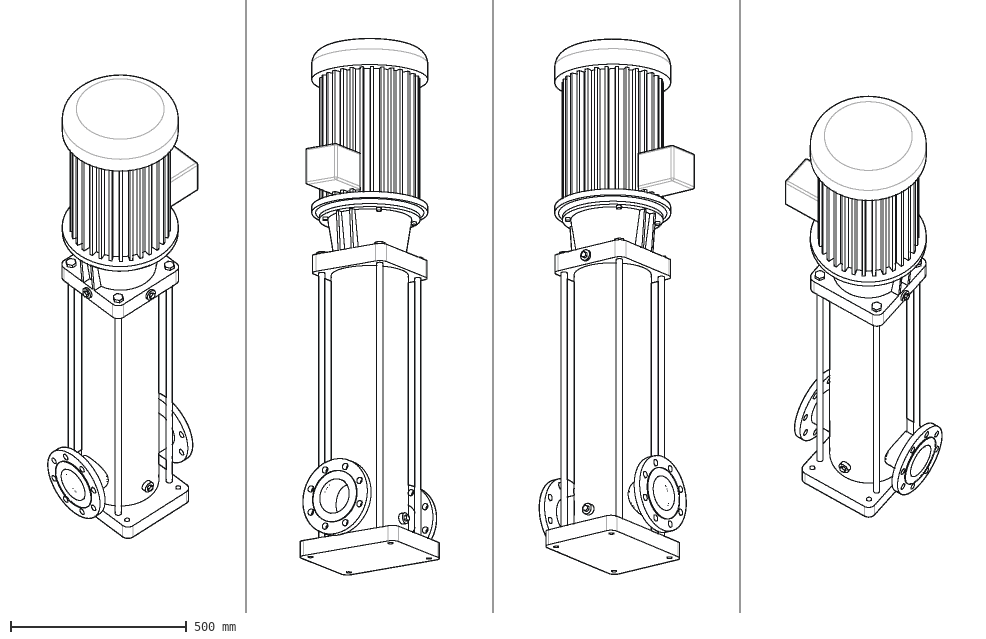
import cadquery as cq
TOTAL_HEIGHT = 1496.0

BASE_LENGTH = 330.0
PLATE_WIDTH = 248.0
BASE_HEIGHT = 45.0
BASE_CORNER_RADIUS = 21.0
BASE_HOLE_DIAMETER = 14.0
BASE_HOLE_X = 136.0
BASE_HOLE_Y = 99.0

CASING_DIAMETER = 220.0
HEAD_BOTTOM = 832.0
HEAD_HEIGHT = 51.0
HEAD_CORNER_RADIUS = 22.0
HEAD_TOP = HEAD_BOTTOM + HEAD_HEIGHT
ROD_DIAMETER = 18.0
ROD_OFFSET = 99.0
ROD_NUT_WIDTH = 30.0
ROD_NUT_HEIGHT = 9.0

PORT_HEIGHT = 140.0
PORT_REACH = 183.0
PORT_BORE = 100.0
PORT_PIPE_DIAMETER = 108.0
FLANGE_DIAMETER = 220.0
FLANGE_THICKNESS = 20.0
SEAL_FACE_DIAMETER = 150.0
SEAL_FACE_HEIGHT = 3.0
FLANGE_HOLE_DIAMETER = 18.0
FLANGE_HOLE_CIRCLE = 180.0
FLANGE_HOLE_COUNT = 8

PLUG_COLLAR_DIAMETER = 31.0
PLUG_HEAD_WIDTH = 18.0
PLUG_HEAD_LENGTH = 7.0
VENT_COLLAR_LENGTH = 6.0
DRAIN_COLLAR_LENGTH = 12.0
DRAIN_HEIGHT = 99.0

CONE_BOTTOM_RADIUS = 102.0
CONE_TOP_RADIUS = 120.0
STOOL_BOTTOM = 996.0
STOOL_RADIUS = 144.0
STOOL_RIM_TOP = 1005.0
STOOL_TOP_RADIUS = 154.0
RIB_THICKNESS = 7.0
RIB_SPACING = 45.0
RIB_BOTTOM_REACH = 124.0
RIB_TOP_REACH = 133.0
BRACKET_BOLT_OFFSET = 91.0
BRACKET_BOLT_DIAMETER = 14.0
BRACKET_BOLT_HEIGHT = 7.0

MOTOR_DIAMETER = 330.0
MOTOR_FLANGE_BOTTOM = 1017.0
MOTOR_FLANGE_TOP = 1035.0
MOTOR_CORE_DIAMETER = 248.0
FIN_TIP_DIAMETER = 287.0
FIN_THICKNESS = 9.0
FIN_COUNT = 30
FAN_COVER_BOTTOM = 1409.0
FAN_COVER_FILLET = 40.0

BOX_SIZE = 106.0
BOX_BOTTOM = 1052.0
BOX_REACH = 255.0
BOX_EDGE_RADIUS = 6.0


def cylinder(diameter, bottom, top, x=0.0, y=0.0):
    """Upright cylinder between two heights."""
    return cq.Workplane("XY", origin=(x, y, bottom)).circle(diameter / 2).extrude(top - bottom)


def plate(length, width, bottom, height, corner_radius):
    """Flat plate with rounded upright corners."""
    slab = cq.Workplane("XY", origin=(0, 0, bottom)).rect(length, width).extrude(height)
    return slab.edges("|Z").fillet(corner_radius)


def four_corners(x, y):
    return [(sx * x, sy * y) for sx in (-1, 1) for sy in (-1, 1)]


def base():
    body = plate(BASE_LENGTH, PLATE_WIDTH, 0, BASE_HEIGHT, BASE_CORNER_RADIUS)
    holes = body.faces(">Z").workplane().pushPoints(four_corners(BASE_HOLE_X, BASE_HOLE_Y))
    return holes.hole(BASE_HOLE_DIAMETER)


def head_and_rods():
    body = plate(PLATE_WIDTH, PLATE_WIDTH, HEAD_BOTTOM, HEAD_HEIGHT, HEAD_CORNER_RADIUS)
    for x, y in four_corners(ROD_OFFSET, ROD_OFFSET):
        body = body.union(cylinder(ROD_DIAMETER, BASE_HEIGHT, HEAD_BOTTOM, x, y))
        nut = cq.Workplane("XY").polygon(6, ROD_NUT_WIDTH).extrude(ROD_NUT_HEIGHT)
        nut = nut.rotate((0, 0, 0), (0, 0, 1), 90)
        body = body.union(nut.translate((x, y, HEAD_TOP)))
    return body


def port():
    """Hollow flanged pipe pointing to -Y, starting at the pump axis."""
    flange_face = PORT_REACH - SEAL_FACE_HEIGHT
    pipe = cq.Workplane("XZ").circle(PORT_PIPE_DIAMETER / 2).extrude(PORT_REACH)
    flange = (
        cq.Workplane("XZ", origin=(0, -(flange_face - FLANGE_THICKNESS), 0))
        .circle(FLANGE_DIAMETER / 2)
        .extrude(FLANGE_THICKNESS)
        .faces("<Y").workplane()
        .circle(SEAL_FACE_DIAMETER / 2)
        .extrude(SEAL_FACE_HEIGHT)
    )
    half_pitch = 180 / FLANGE_HOLE_COUNT
    bolt_holes = (
        cq.Workplane("XZ")
        .polarArray(FLANGE_HOLE_CIRCLE / 2, half_pitch, 360, FLANGE_HOLE_COUNT)
        .circle(FLANGE_HOLE_DIAMETER / 2)
        .extrude(PORT_REACH)
    )
    bore = cq.Workplane("XZ").circle(PORT_BORE / 2).extrude(PORT_REACH)
    body = pipe.union(flange.cut(bolt_holes)).cut(bore)
    return body.translate((0, 0, PORT_HEIGHT))


def plug(reach, height, collar_length, angle):
    """Collared plug on a side at the given reach; angle 0 points to +X."""
    body = (
        cq.Workplane("YZ", origin=(reach - PLUG_COLLAR_DIAMETER / 2, 0, height))
        .circle(PLUG_COLLAR_DIAMETER / 2)
        .extrude(PLUG_COLLAR_DIAMETER / 2 + collar_length)
        .faces(">X").workplane()
        .transformed(rotate=(0, 0, 90))
        .polygon(6, PLUG_HEAD_WIDTH)
        .extrude(PLUG_HEAD_LENGTH)
    )
    return body.rotate((0, 0, 0), (0, 0, 1), angle)


def bracket():
    body = (
        cq.Workplane("XZ")
        .moveTo(0, HEAD_TOP)
        .lineTo(CONE_BOTTOM_RADIUS, HEAD_TOP)
        .lineTo(CONE_TOP_RADIUS, STOOL_BOTTOM)
        .lineTo(STOOL_RADIUS, STOOL_BOTTOM)
        .lineTo(STOOL_RADIUS, STOOL_RIM_TOP)
        .lineTo(STOOL_TOP_RADIUS, MOTOR_FLANGE_BOTTOM)
        .lineTo(0, MOTOR_FLANGE_BOTTOM)
        .close()
        .revolve(360, (0, 0, 0), (0, 1, 0))
    )
    rib = (
        cq.Workplane("YZ")
        .moveTo(-RIB_BOTTOM_REACH, HEAD_TOP)
        .lineTo(RIB_BOTTOM_REACH, HEAD_TOP)
        .lineTo(RIB_TOP_REACH, STOOL_BOTTOM)
        .lineTo(-RIB_TOP_REACH, STOOL_BOTTOM)
        .close()
        .extrude(RIB_THICKNESS / 2, both=True)
    )
    for side in (-1, 1):
        body = body.union(rib.translate((side * RIB_SPACING / 2, 0, 0)))
    bolt_bottom = STOOL_BOTTOM - BRACKET_BOLT_HEIGHT
    for x, y in four_corners(BRACKET_BOLT_OFFSET, BRACKET_BOLT_OFFSET):
        body = body.union(cylinder(BRACKET_BOLT_DIAMETER, bolt_bottom, STOOL_BOTTOM, x, y))
    return body


def motor():
    body = cylinder(MOTOR_CORE_DIAMETER, MOTOR_FLANGE_TOP, FAN_COVER_BOTTOM)
    half_pitch = 180 / FIN_COUNT
    fin_depth = FIN_TIP_DIAMETER / 4
    fins = (
        cq.Workplane("XY", origin=(0, 0, MOTOR_FLANGE_TOP))
        .polarArray(FIN_TIP_DIAMETER / 2 - fin_depth / 2, half_pitch, 360, FIN_COUNT)
        .rect(fin_depth, FIN_THICKNESS)
        .extrude(FAN_COVER_BOTTOM - MOTOR_FLANGE_TOP)
    )
    flange = cylinder(MOTOR_DIAMETER, MOTOR_FLANGE_BOTTOM, MOTOR_FLANGE_TOP)
    cover = cylinder(MOTOR_DIAMETER, FAN_COVER_BOTTOM, TOTAL_HEIGHT)
    cover = cover.faces(">Z").edges().fillet(FAN_COVER_FILLET)
    return body.union(fins).union(flange).union(cover)


def terminal_box():
    box = cq.Workplane("XY").box(BOX_SIZE, BOX_REACH, BOX_SIZE, centered=(True, False, False))
    box = box.edges("|Y or >Y").fillet(BOX_EDGE_RADIUS)
    return box.translate((0, 0, BOX_BOTTOM))


casing = cylinder(CASING_DIAMETER, BASE_HEIGHT, HEAD_BOTTOM)
front_port = port()
rear_port = front_port.rotate((0, 0, 0), (0, 0, 1), 180)
result = base().union(front_port).union(rear_port).union(casing)
result = result.union(head_and_rods()).union(bracket()).union(motor()).union(terminal_box())

vent_height = HEAD_BOTTOM + HEAD_HEIGHT / 2
for angle in (0, -90):
    result = result.union(plug(PLATE_WIDTH / 2, vent_height, VENT_COLLAR_LENGTH, angle))
for angle in (0, 180):
    result = result.union(plug(CASING_DIAMETER / 2, DRAIN_HEIGHT, DRAIN_COLLAR_LENGTH, angle))